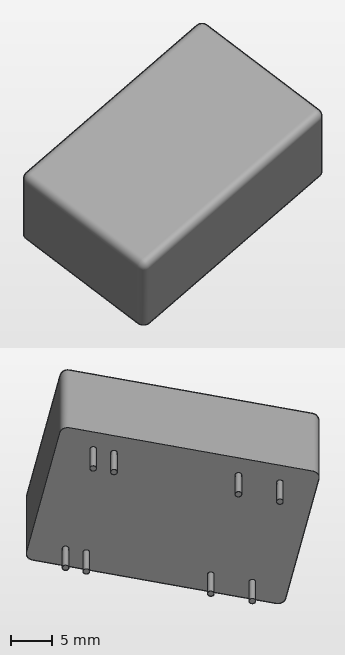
import cadquery as cq

case_width = 20.3
case_length = 31.8
overall_height = 16.03
pin_length = 3.82
case_height = overall_height - pin_length
edge_radius = 1.0

pin_pitch = 2.55
pin_diameter = 0.8
pin_row_spacing = 15.23
pin_grid_steps = (-4.5, -2.5, 3.5, 4.5)


def make_case():
    """Box with rounded upright and top edges; the bottom rim stays sharp."""
    case = cq.Workplane("XY").box(
        case_width, case_length, case_height, centered=(True, True, False)
    )
    return case.edges("|Z or >Z").fillet(edge_radius)


def make_pins():
    """Round pins hanging from the bottom face."""
    places = [
        (side * pin_row_spacing / 2, step * pin_pitch)
        for side in (-1, 1)
        for step in pin_grid_steps
    ]
    return cq.Workplane("XY").pushPoints(places).circle(pin_diameter / 2).extrude(-pin_length)


result = make_case().union(make_pins())